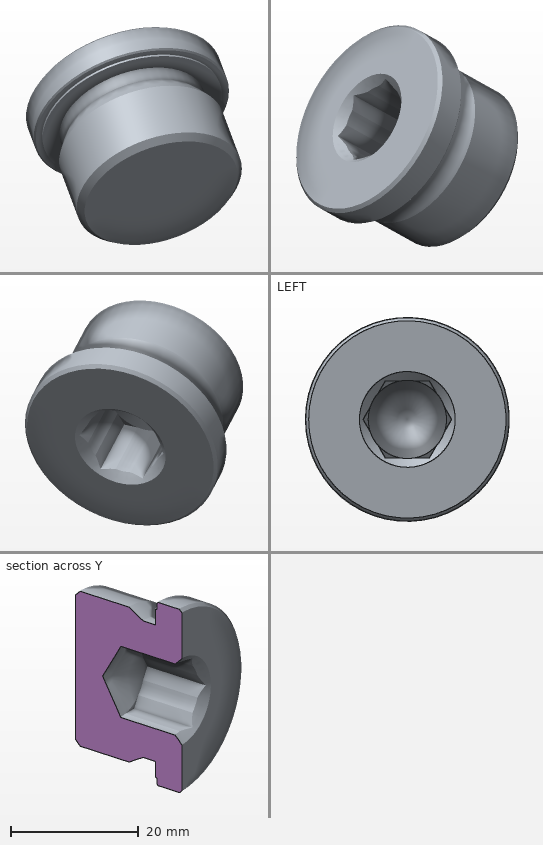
import cadquery as cq
import math

length = 21.0

flange_diameter = 31.9
flange_end = 4.98
front_chamfer = 0.5
back_chamfer = 0.25

seat_diameter = 29.35
seat_end = 5.3

neck_diameter = 23.8
neck_end = 7.62

shank_diameter = 27.0
shoulder_angle = 30.0
tip_chamfer_length = 1.02
tip_diameter = 25.0

hex_across_flats = 12.0
socket_depth = 12.0
pilot_diameter = 12.25
drill_point_angle = 120.0
countersink_diameter = 15.0
countersink_angle = 90.0


def cone_height(radius_change, included_angle):
    """Axial length of a cone whose radius changes by the given amount."""
    return radius_change / math.tan(math.radians(included_angle / 2))


def revolve_about_x(points):
    """Revolve a closed (x, radius) outline about the X axis."""
    return cq.Workplane("XY").polyline(points).close().revolve(360, (0, 0, 0), (1, 0, 0))


def make_body():
    """Turned plug: flange, raised sealing seat, neck, conical shoulder, shank."""
    flange_radius = flange_diameter / 2
    seat_radius = seat_diameter / 2
    neck_radius = neck_diameter / 2
    shank_radius = shank_diameter / 2
    shoulder_end = neck_end + cone_height(shank_radius - neck_radius, 2 * shoulder_angle)
    return revolve_about_x([
        (0, 0),
        (0, flange_radius - front_chamfer),
        (front_chamfer, flange_radius),
        (flange_end - back_chamfer, flange_radius),
        (flange_end, flange_radius - back_chamfer),
        (flange_end, seat_radius),
        (seat_end, seat_radius),
        (seat_end, neck_radius),
        (neck_end, neck_radius),
        (shoulder_end, shank_radius),
        (length - tip_chamfer_length, shank_radius),
        (length, tip_diameter / 2),
        (length, 0),
    ])


def make_hex_socket():
    """Hexagonal prism with two corners on the Y axis and flats facing Z."""
    across_corners = hex_across_flats / math.cos(math.radians(30))
    return cq.Workplane("YZ").polygon(6, across_corners).extrude(socket_depth)


def make_pilot_hole():
    """Drilled hole, slightly wider than the hexagon's flats, with a conical end."""
    pilot_radius = pilot_diameter / 2
    point_end = socket_depth + cone_height(pilot_radius, drill_point_angle)
    return revolve_about_x([
        (0, 0),
        (0, pilot_radius),
        (socket_depth, pilot_radius),
        (point_end, 0),
    ])


def make_countersink():
    """Conical lead-in at the mouth of the socket."""
    mouth_radius = countersink_diameter / 2
    apex = cone_height(mouth_radius, countersink_angle)
    return revolve_about_x([(0, 0), (0, mouth_radius), (apex, 0)])


result = make_body().cut(make_hex_socket()).cut(make_pilot_hole()).cut(make_countersink())